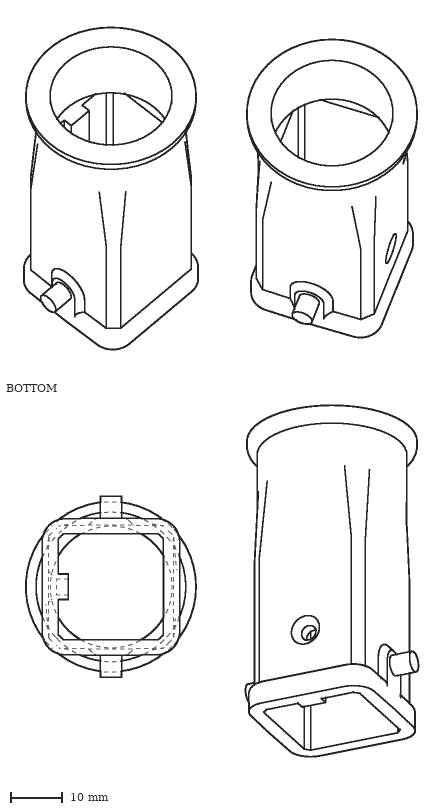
import cadquery as cq
import math

total_height = 59.85
body_top = 31.9
neck_bottom = 47.9

neck_diameter = 29.0
bore_diameter = 23.6
bore_depth = 15.0
bore_floor = total_height - bore_depth
flange_diameter = 33.0
flange_fillet = (flange_diameter - neck_diameter) / 2
flange_rim_height = 0.9
flange_height = flange_rim_height + flange_fillet

body_half_width = 12.1
body_corner_leg = 2.0
body_crown = 0.2
body_half_depth = 12.05
body_flat_half_depth = body_half_depth - body_crown

neck_face_angle = math.radians(34.8)

base_width = 26.6
base_height = 5.2
base_corner_radius = 4.4
base_top_fillet = 1.5

pin_diameter = 4.1
pin_span = 35.1
pin_height = 9.25
boss_radius = 4.4
boss_bevel_depth = base_width / 2 - body_half_depth
boss_bevel_width = 1.4

cavity_half_width = 10.15
cavity_half_depth = 10.25
cavity_corner_leg = 0.95

screw_height = 14.4
screw_diameter = 3.05
countersink_diameter = 6.0
rib_width = 5.0
rib_thickness = 1.9


def body_corners():
    """Points of the body outline, counter-clockwise from the middle of the +X face."""
    corner_x = body_half_width - body_corner_leg
    corner_y = body_flat_half_depth - body_corner_leg
    first_quarter = [
        (body_half_width, 0),
        (body_half_width, corner_y),
        (corner_x, body_flat_half_depth),
        (0, body_half_depth),
    ]
    second_quarter = [(-x, y) for x, y in reversed(first_quarter)]
    upper_half = first_quarter + second_quarter[1:-1]
    lower_half = [(-x, -y) for x, y in upper_half]
    return upper_half + lower_half


def neck_angles():
    """Angles of the points on the neck circle that pair with the body outline points."""
    quarter = [0, neck_face_angle, math.pi / 2 - neck_face_angle]
    return [turn * math.pi / 2 + angle for turn in range(4) for angle in quarter]


def neck_point(angle, z):
    radius = neck_diameter / 2
    return cq.Vector(radius * math.cos(angle), radius * math.sin(angle), z)


def make_body():
    return cq.Workplane("XY").polyline(body_corners()).close().extrude(body_top)


def make_transition():
    """Ruled blend from the body outline to the round neck, one face per outline edge."""
    corners = [cq.Vector(x, y, body_top) for x, y in body_corners()]
    lower_edges = [
        cq.Edge.makeLine(start, end)
        for start, end in zip(corners, corners[1:] + corners[:1])
    ]
    angles = neck_angles()
    upper_edges = [
        cq.Edge.makeThreePointArc(
            neck_point(start, neck_bottom),
            neck_point((start + end) / 2, neck_bottom),
            neck_point(end, neck_bottom),
        )
        for start, end in zip(angles, angles[1:] + [2 * math.pi])
    ]
    lower = cq.Wire.assembleEdges(lower_edges)
    upper = cq.Wire.assembleEdges(upper_edges)
    return cq.Workplane(obj=cq.Solid.makeLoft([lower, upper], True))


def make_neck():
    neck = (
        cq.Workplane("XY", origin=(0, 0, neck_bottom))
        .circle(neck_diameter / 2)
        .extrude(total_height - neck_bottom)
    )
    half_profile = (
        cq.Workplane("XZ")
        .moveTo(0, total_height - flange_height)
        .lineTo(neck_diameter / 2, total_height - flange_height)
        .radiusArc((flange_diameter / 2, total_height - flange_rim_height), -flange_fillet)
        .lineTo(flange_diameter / 2, total_height)
        .lineTo(0, total_height)
        .close()
    )
    return neck.union(half_profile.revolve(360, (0, 0, 0), (0, 1, 0)))


def make_base_prism(height):
    """Square-cornered prism of the base outline, with its Y faces crowned like the body's."""
    half_width = base_width / 2
    side_half_depth = half_width - body_crown
    outline = [
        (half_width, -side_half_depth),
        (half_width, side_half_depth),
        (0, half_width),
        (-half_width, side_half_depth),
        (-half_width, -side_half_depth),
        (0, -half_width),
    ]
    return cq.Workplane("XY").polyline(outline).close().extrude(height)


def make_base():
    return (
        make_base_prism(base_height)
        .edges("|Z")
        .edges("<X or >X")
        .fillet(base_corner_radius)
        .faces(">Z")
        .edges()
        .fillet(base_top_fillet)
    )


def make_boss_and_pin():
    """Arched boss with a bevelled outer edge, and its pin, on the -Y side."""
    boss_top = pin_height + boss_radius
    arch = (
        cq.Workplane("XZ")
        .moveTo(-boss_radius, 0)
        .lineTo(-boss_radius, pin_height)
        .threePointArc((0, boss_top), (boss_radius, pin_height))
        .lineTo(boss_radius, 0)
        .close()
        .extrude(base_width)
    )
    boss = (
        arch.intersect(make_base_prism(boss_top))
        .faces("<Y")
        .edges("<X or >X or >Z")
        .chamfer(boss_bevel_depth, boss_bevel_width)
    )
    pin = (
        cq.Workplane("XZ")
        .center(0, pin_height)
        .circle(pin_diameter / 2)
        .extrude(pin_span / 2)
    )
    return boss.union(pin)


def make_inside():
    """Bore from the flange end, meeting the square cavity from the base end."""
    cavity = (
        cq.Workplane("XY")
        .rect(2 * cavity_half_width, 2 * cavity_half_depth)
        .extrude(bore_floor)
        .edges("|Z")
        .chamfer(cavity_corner_leg)
    )
    bore = (
        cq.Workplane("XY", origin=(0, 0, bore_floor))
        .circle(bore_diameter / 2)
        .extrude(bore_depth)
    )
    return cavity.union(bore)


def make_screw_rib():
    """Rib on the -X cavity wall, running from the open end up to the bore floor."""
    wall_thickness = body_half_width - cavity_half_width
    length = wall_thickness / 2 + rib_thickness
    center_x = -cavity_half_width + rib_thickness - length / 2
    return cq.Workplane("XY").center(center_x, 0).rect(length, rib_width).extrude(bore_floor)


def make_screw_hole():
    countersink_depth = (countersink_diameter - screw_diameter) / 2
    hole_length = body_half_width - cavity_half_width + rib_thickness
    outer_face = cq.Workplane("YZ", origin=(-body_half_width, 0, screw_height))
    hole = outer_face.circle(screw_diameter / 2).extrude(hole_length)
    countersink = cq.Solid.makeCone(
        countersink_diameter / 2,
        screw_diameter / 2,
        countersink_depth,
        cq.Vector(-body_half_width, 0, screw_height),
        cq.Vector(1, 0, 0),
    )
    return hole.union(cq.Workplane(obj=countersink))


boss_and_pin = make_boss_and_pin()
result = (
    make_body()
    .union(make_transition())
    .union(make_neck())
    .union(make_base())
    .union(boss_and_pin)
    .union(boss_and_pin.mirror("XZ"))
    .cut(make_inside())
    .union(make_screw_rib())
    .cut(make_screw_hole())
)